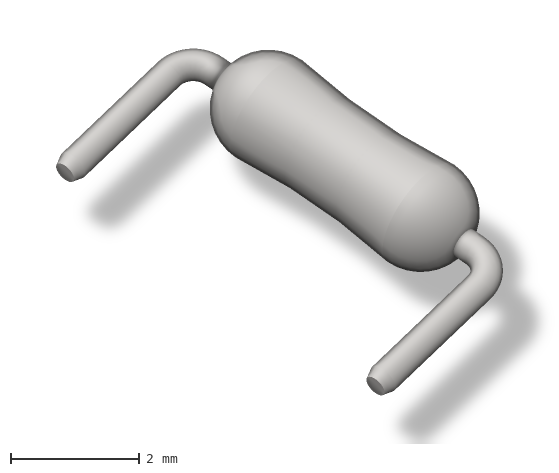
import cadquery as cq
import math

overall_length = 6.86
body_length = 4.95
body_radius = 0.92
waist_radius = 0.82
lead_radius = 0.255
bend_radius = 0.5
lead_reach = 3.0
tip_length = 0.185
tip_radius = 0.185

cap_center_x = body_length / 2 - body_radius
lead_x = overall_length / 2 - lead_radius
bend_start_x = lead_x - bend_radius
straight_length = lead_reach - bend_radius - tip_length


def make_body():
    """Revolved body with hemispherical ends and a concave waist."""
    end_x = body_length / 2
    cap_mid = body_radius * math.sqrt(0.5)
    return (
        cq.Workplane("XY")
        .moveTo(-end_x, 0)
        .threePointArc((-cap_center_x - cap_mid, cap_mid), (-cap_center_x, body_radius))
        .threePointArc((0, waist_radius), (cap_center_x, body_radius))
        .threePointArc((cap_center_x + cap_mid, cap_mid), (end_x, 0))
        .close()
        .revolve(360, (0, 0, 0), (1, 0, 0))
    )


def make_lead():
    """Right-hand lead: axial wire, quarter bend, straight leg and tapered tip."""
    axial = (
        cq.Workplane("YZ", origin=(cap_center_x, 0, 0))
        .circle(lead_radius)
        .extrude(bend_start_x - cap_center_x)
    )
    bend = (
        cq.Workplane("YZ", origin=(bend_start_x, 0, 0))
        .circle(lead_radius)
        .revolve(90, (-bend_radius, 0.07, 0), (-bend_radius, 0, 0))
    )
    leg = (
        cq.Workplane("XZ", origin=(lead_x, -bend_radius, 0))
        .circle(lead_radius)
        .extrude(straight_length)
    )
    tip = (
        cq.Workplane("XZ", origin=(lead_x, tip_length - lead_reach, 0))
        .circle(lead_radius)
        .workplane(offset=tip_length)
        .circle(tip_radius)
        .loft()
    )
    return axial.union(bend).union(leg).union(tip)


right_lead = make_lead()
left_lead = right_lead.mirror("YZ")
result = make_body().union(right_lead).union(left_lead)